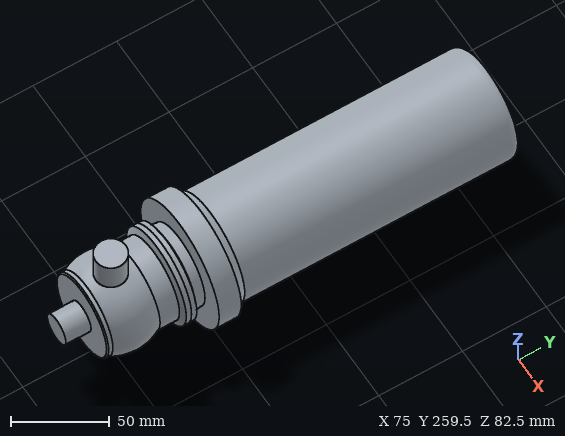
import cadquery as cq

TOTAL_LENGTH = 259.5
TOTAL_HEIGHT = 82.5

PORT_DIAMETER = 18.0
VALVE_FACE_Y = 15.0
VALVE_EDGE_CHAMFER = 0.8
NECK_DIAMETER = 49.0
BALL_DIAMETER = 56.5
BALL_CENTER_Y = 32.5

JOINT_Y = 62.8
FERRULE_DIAMETER = 57.0
FERRULE_RIM_WIDTH = 3.0
FERRULE_TAPER_WIDTH = 1.5

COLLAR_DIAMETER = 75.0
COLLAR_FACE_Y = 73.7
COLLAR_BEVEL_Y = 87.0
COLLAR_NECK_DIAMETER = 48.0
TUBE_DIAMETER = 64.0
DOME_RISE = 2.3
DOME_FILLET = 5.0

neck_radius = NECK_DIAMETER / 2
ferrule_radius = FERRULE_DIAMETER / 2
collar_radius = COLLAR_DIAMETER / 2
tube_radius = TUBE_DIAMETER / 2
ferrule_width = FERRULE_RIM_WIDTH + FERRULE_TAPER_WIDTH
side_port_top_z = TOTAL_HEIGHT - collar_radius


def revolve_about_y(profile):
    """Turn a closed radius-versus-Y profile into a solid around the Y axis."""
    return profile.close().revolve(360, (0, 0, 0), (0, 1, 0))


def make_valve():
    """Ball valve body with one ferrule, an axial port and a port pointing up."""
    barrel = revolve_about_y(
        cq.Workplane("XY")
        .moveTo(0, VALVE_FACE_Y)
        .lineTo(neck_radius - VALVE_EDGE_CHAMFER, VALVE_FACE_Y)
        .lineTo(neck_radius, VALVE_FACE_Y + VALVE_EDGE_CHAMFER)
        .lineTo(neck_radius, JOINT_Y - ferrule_width)
        .lineTo(ferrule_radius, JOINT_Y - FERRULE_RIM_WIDTH)
        .lineTo(ferrule_radius, JOINT_Y)
        .lineTo(0, JOINT_Y)
    )
    ball = cq.Workplane("XY").sphere(BALL_DIAMETER / 2).translate((0, BALL_CENTER_Y, 0))
    face_trim = (
        cq.Workplane("XZ", origin=(0, VALVE_FACE_Y, 0))
        .circle(BALL_DIAMETER)
        .extrude(BALL_DIAMETER)
    )
    axial_port = cq.Workplane("XZ").circle(PORT_DIAMETER / 2).extrude(-BALL_CENTER_Y)
    side_port = (
        cq.Workplane("XY", origin=(0, BALL_CENTER_Y, 0))
        .circle(PORT_DIAMETER / 2)
        .extrude(side_port_top_z)
    )
    return barrel.union(ball.cut(face_trim)).union(axial_port).union(side_port)


def make_actuator():
    """Actuator with one ferrule, a bevelled collar and a domed tube."""
    bevel_end_y = COLLAR_BEVEL_Y + collar_radius - tube_radius
    dome_base_y = TOTAL_LENGTH - DOME_RISE
    dome_radius = (tube_radius**2 + DOME_RISE**2) / (2 * DOME_RISE)
    mid_radius = tube_radius / 2
    mid_y = TOTAL_LENGTH - dome_radius + (dome_radius**2 - mid_radius**2) ** 0.5
    body = revolve_about_y(
        cq.Workplane("XY")
        .moveTo(0, JOINT_Y)
        .lineTo(ferrule_radius, JOINT_Y)
        .lineTo(ferrule_radius, JOINT_Y + FERRULE_RIM_WIDTH)
        .lineTo(neck_radius, JOINT_Y + ferrule_width)
        .lineTo(COLLAR_NECK_DIAMETER / 2, COLLAR_FACE_Y)
        .lineTo(collar_radius, COLLAR_FACE_Y)
        .lineTo(collar_radius, COLLAR_BEVEL_Y)
        .lineTo(tube_radius, bevel_end_y)
        .lineTo(tube_radius, dome_base_y)
        .threePointArc((mid_radius, mid_y), (0, TOTAL_LENGTH))
    )
    dome_rim = cq.selectors.NearestToPointSelector((0, dome_base_y, 0))
    return body.edges("%CIRCLE").edges(dome_rim).fillet(DOME_FILLET)


valve = make_valve()
actuator = make_actuator()

result = cq.Compound.makeCompound([valve.solids().val(), actuator.solids().val()])